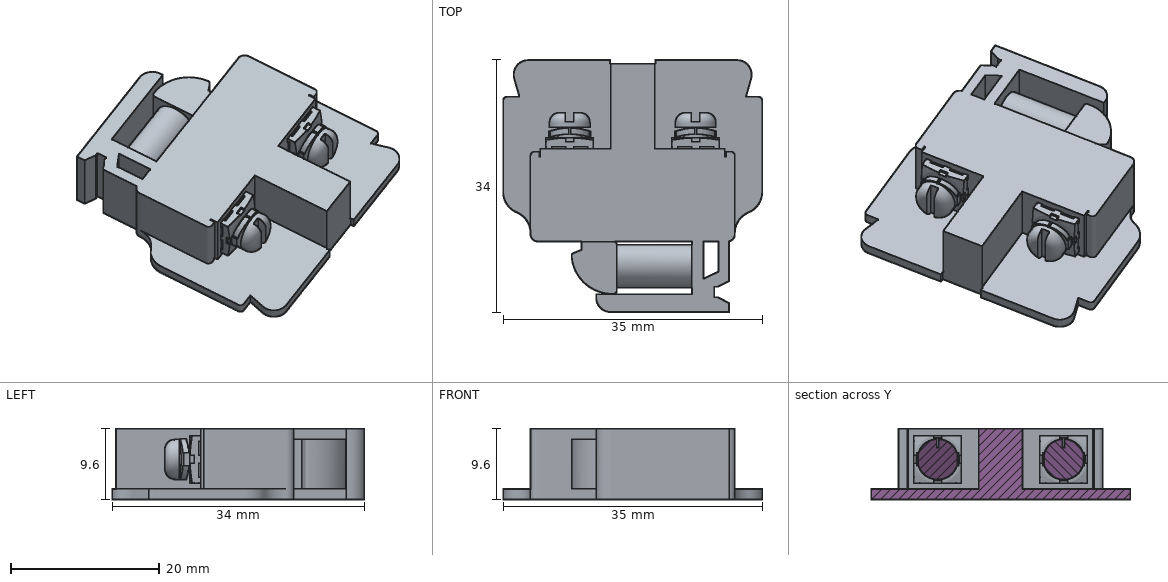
import cadquery as cq
import math


total_height = 9.6
plate_thickness = 1.45
top_y = 24.51
foot_bottom_y = -9.53

plate_half_width = 17.5
ear_radius = 2.0
ear_center_x = 14.07
neck_x = 15.3
shoulder_y = 19.55
shoulder_fillet = 0.55
flank_end_y = 6.7
flank_radius = 3.0
plate_notch_half_width = 3.05

block_half_width = 13.8
block_top_y = 12.15
block_bottom_fillet = 1.0
block_top_fillet = 0.6
step_half_width = 12.45
step_top_y = 12.53
rib_half_width = 2.97
rib_top_y = 24.0
slit_width = 0.15
slit_bottom_y = 11.45

leg_inner_x = 8.0
leg_outer_x = 13.0
foot_left_x = -4.95
foot_top_y = -7.11
foot_radius = 2.0
window_inner_x = 9.57
window_outer_x = 11.56
window_inner_y = -5.0
window_outer_y = -4.05
groove_x = 11.03
groove_ramp_x = 11.5
groove_top_y = -6.1
groove_bottom_y = -7.5
groove_upper_lip_y = -5.35
groove_lower_lip_y = -8.3

latch_height = total_height - 2 * plate_thickness
latch_left_x = -6.92
latch_right_x = -2.15
latch_side_y = -1.1
latch_nose_y = -1.65
latch_bulge_radius = 5.5
latch_nose_x = -8.25
latch_bulge_start_y = -2.1
latch_bottom_x = -3.3
latch_bottom_y = -7.05
latch_nose_fillet = 0.4
latch_corner_fillet = 0.35
stem_radius = 2.92
stem_y = -3.32

screw_x = 8.5
screw_z = 5.44
clamp_size = 6.4
clamp_top_y = 14.0
clamp_chamfer_drop = 0.3
clamp_notch_width = 1.1
clamp_notch_height = 0.55
clamp_notch_depth = 0.3
relief_inner = 0.55
relief_outer = 2.45
relief_height = 0.3
relief_depth = 0.15
shank_radius = 1.6
washer_radius = 2.75
washer_edge_y = 14.05
washer_crown = 0.45
washer_thickness = 0.82
washer_split = 0.25
washer_tab_reach = 2.81
washer_tab_half_width = 0.88
head_radius = 2.74
head_bottom_y = 15.45
head_rim_y = 16.05
head_top_y = 17.4
head_slot_width = 1.15
head_slot_bottom_y = 16.15


def block(x_min, x_max, y_min, y_max, z_min, z_max):
    """Axis-aligned box given by its limits."""
    size = (x_max - x_min, y_max - y_min, z_max - z_min)
    return cq.Workplane("XY").box(*size, centered=False).translate((x_min, y_min, z_min))


def plate_half():
    """Right half of the base plate: ear, neck, shoulder and S-shaped flank."""
    ear_center_y = top_y - ear_radius
    reach = math.hypot(neck_x - ear_center_x, shoulder_y - ear_center_y)
    neck_direction = math.atan2(shoulder_y - ear_center_y, neck_x - ear_center_x)
    tangent_angle = neck_direction + math.acos(ear_radius / reach)
    middle_angle = (math.pi / 2 + tangent_angle) / 2

    def on_ear(angle):
        return (ear_center_x + ear_radius * math.cos(angle), ear_center_y + ear_radius * math.sin(angle))

    flank_width = plate_half_width - block_half_width
    turn = math.acos(1 - flank_width / (2 * flank_radius))
    half_turn_x = flank_radius * (1 - math.cos(turn / 2))
    half_turn_y = flank_radius * math.sin(turn / 2)
    flank_drop = 2 * flank_radius * math.sin(turn)
    flank_bottom_y = flank_end_y - flank_drop

    outline = (
        cq.Workplane("XY")
        .moveTo(0, 0)
        .lineTo(0, rib_top_y)
        .lineTo(plate_notch_half_width, rib_top_y)
        .lineTo(plate_notch_half_width, top_y)
        .lineTo(ear_center_x, top_y)
        .threePointArc(on_ear(middle_angle), on_ear(tangent_angle))
        .lineTo(neck_x, shoulder_y)
        .lineTo(plate_half_width - shoulder_fillet, shoulder_y)
        .radiusArc((plate_half_width, shoulder_y - shoulder_fillet), shoulder_fillet)
        .lineTo(plate_half_width, flank_end_y)
        .threePointArc(
            (plate_half_width - half_turn_x, flank_end_y - half_turn_y),
            (plate_half_width - flank_width / 2, flank_end_y - flank_drop / 2),
        )
        .threePointArc(
            (block_half_width + half_turn_x, flank_bottom_y + half_turn_y),
            (block_half_width, flank_bottom_y),
        )
        .lineTo(block_half_width - block_bottom_fillet, flank_bottom_y)
        .lineTo(block_half_width - block_bottom_fillet, 0)
        .close()
    )
    return outline.extrude(plate_thickness)


def housing_block():
    """Full-height T: the block with its step, the center rib and two thin slits."""
    base = block(-block_half_width, block_half_width, 0, block_top_y, 0, total_height)
    base = base.edges("|Z and <Y").fillet(block_bottom_fillet)
    base = base.edges("|Z and >Y").fillet(block_top_fillet)
    step = block(-step_half_width, step_half_width, slit_bottom_y, step_top_y, 0, total_height)
    rib = block(-rib_half_width, rib_half_width, slit_bottom_y, rib_top_y, 0, total_height)
    body = base.union(step).union(rib)
    for slit_x in (-step_half_width - slit_width, step_half_width):
        slit = block(slit_x, slit_x + slit_width, slit_bottom_y, step_top_y, plate_thickness, total_height)
        body = body.cut(slit)
    return body


def foot():
    """Leg with a through window and a V-sided groove, carrying the long foot bar."""
    outline = (
        cq.Workplane("XY")
        .moveTo(leg_inner_x, block_bottom_fillet)
        .lineTo(leg_inner_x, foot_top_y)
        .lineTo(foot_left_x, foot_top_y)
        .lineTo(foot_left_x, foot_bottom_y + foot_radius)
        .radiusArc((foot_left_x + foot_radius, foot_bottom_y), -foot_radius)
        .lineTo(leg_outer_x, foot_bottom_y)
        .lineTo(leg_outer_x, groove_lower_lip_y)
        .lineTo(groove_ramp_x, groove_bottom_y)
        .lineTo(groove_x, groove_bottom_y)
        .lineTo(groove_x, groove_top_y)
        .lineTo(groove_ramp_x, groove_top_y)
        .lineTo(leg_outer_x, groove_upper_lip_y)
        .lineTo(leg_outer_x, block_bottom_fillet)
        .close()
        .extrude(total_height)
    )
    window = (
        cq.Workplane("XY")
        .moveTo(window_inner_x, 0)
        .lineTo(window_inner_x, window_inner_y)
        .lineTo(window_outer_x, window_outer_y)
        .lineTo(window_outer_x, 0)
        .close()
        .extrude(total_height)
    )
    return outline.cut(window)


def latch():
    """Hook-shaped latch head under the block, on a round stem running to the leg."""
    head = (
        cq.Workplane("XY", origin=(0, 0, plate_thickness))
        .moveTo(latch_right_x, 0)
        .lineTo(latch_left_x, 0)
        .lineTo(latch_left_x, latch_side_y)
        .lineTo(latch_nose_x, latch_nose_y)
        .lineTo(latch_nose_x, latch_bulge_start_y)
        .radiusArc((latch_bottom_x, latch_bottom_y), -latch_bulge_radius)
        .lineTo(latch_right_x, latch_bottom_y)
        .close()
        .extrude(latch_height)
    )
    nose = cq.selectors.NearestToPointSelector((latch_nose_x, latch_nose_y, total_height / 2))
    head = head.edges(nose).fillet(latch_nose_fillet)
    head = head.edges("|Z and >X").fillet(latch_corner_fillet)
    stem = (
        cq.Workplane("YZ", origin=(latch_right_x, stem_y, total_height / 2))
        .circle(stem_radius)
        .extrude(leg_inner_x - latch_right_x)
    )
    return head.union(stem)


def make_housing():
    right_half = plate_half()
    body = housing_block().union(right_half).union(right_half.mirror("YZ"))
    return body.union(foot()).union(latch())


def clamp():
    """Square clamp plate with corners turned off by a shallow cone, notched on each side."""
    half = clamp_size / 2
    corner = half * math.sqrt(2)
    plate = block(-half, half, step_top_y, clamp_top_y, -half, half)
    turned = (
        cq.Workplane("XY")
        .moveTo(0, step_top_y)
        .lineTo(corner, step_top_y)
        .lineTo(corner, clamp_top_y - clamp_chamfer_drop)
        .lineTo(half, clamp_top_y)
        .lineTo(0, clamp_top_y)
        .close()
        .revolve(360, (0, 0, 0), (0, 1, 0))
    )
    plate = plate.intersect(turned)
    notch = block(
        half - clamp_notch_depth, half,
        clamp_top_y - clamp_notch_height, clamp_top_y,
        -clamp_notch_width / 2, clamp_notch_width / 2,
    )
    relief_top_y = step_top_y + relief_height
    relief = block(half - relief_depth, half, step_top_y, relief_top_y, relief_inner, relief_outer)
    cutter = notch.union(relief).union(relief.mirror("XY"))
    for side in range(4):
        plate = plate.cut(cutter.rotate((0, 0, 0), (0, 1, 0), 90 * side))
    return plate


def washer():
    """Split spring washer arched along X, with a small flat tab at each low end."""
    edge_top_y = washer_edge_y + washer_thickness
    crown_y = washer_edge_y + washer_crown
    band = (
        cq.Workplane("XY", origin=(0, 0, -washer_radius))
        .moveTo(-washer_tab_reach, washer_edge_y)
        .threePointArc((0, crown_y), (washer_tab_reach, washer_edge_y))
        .lineTo(washer_tab_reach, edge_top_y)
        .threePointArc((0, crown_y + washer_thickness), (-washer_tab_reach, edge_top_y))
        .close()
        .extrude(2 * washer_radius)
    )
    height = head_bottom_y - clamp_top_y
    rim = cq.Workplane("XZ", origin=(0, clamp_top_y, 0)).circle(washer_radius).extrude(-height)
    tabs = block(
        -washer_tab_reach, washer_tab_reach, clamp_top_y, head_bottom_y,
        -washer_tab_half_width, washer_tab_half_width,
    )
    split = block(-washer_split / 2, washer_split / 2, clamp_top_y, head_bottom_y, 0, washer_radius)
    return band.intersect(rim.union(tabs)).cut(split)


def screw_head():
    """Domed head with a straight slot along Z."""
    round_radius = head_top_y - head_rim_y
    flat_radius = head_radius - round_radius
    dome = (
        cq.Workplane("XY")
        .moveTo(0, head_bottom_y)
        .lineTo(head_radius, head_bottom_y)
        .lineTo(head_radius, head_rim_y)
        .radiusArc((flat_radius, head_top_y), -round_radius)
        .lineTo(0, head_top_y)
        .close()
        .revolve(360, (0, 0, 0), (0, 1, 0))
    )
    slot = block(
        -head_slot_width / 2, head_slot_width / 2, head_slot_bottom_y, head_top_y, -head_radius, head_radius
    )
    return dome.cut(slot)


def make_terminal():
    """Screw, spring washer and clamp plate as one solid, with its axis along Y at x = z = 0."""
    shank_length = head_bottom_y - clamp_top_y
    shank = cq.Workplane("XZ", origin=(0, clamp_top_y, 0)).circle(shank_radius).extrude(-shank_length)
    return clamp().union(washer()).union(shank).union(screw_head())


housing = make_housing()
terminal = make_terminal()
terminals = [terminal.translate((side * screw_x, 0, screw_z)) for side in (-1, 1)]

result = cq.Compound.makeCompound([housing.val(), *[screw.val() for screw in terminals]])